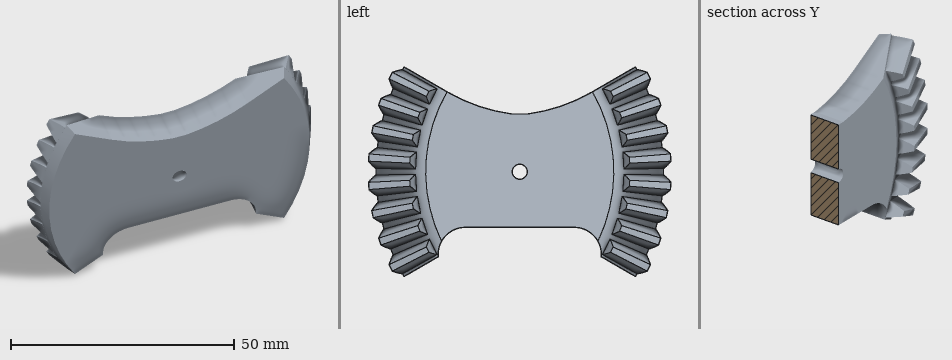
import cadquery as cq
import math

root_radius = 47.0
gear_teeth = 48
pinion_teeth = 20
pressure_angle = math.radians(20)
sector_teeth = 8
face_width_ratio = 0.19
dedendum_factor = 1.25
root_overlap = 0.1
flank_facets = 5

overall_length = 67.8
plate_thickness = 8.0
root_rim_height = 2.7
hole_diameter = 3.3
top_flat_z = 12.95
top_flat_half_width = 1.7
top_arc_end_y = 16.15
bottom_flat_z = -12.5
bottom_flat_half_width = 12.2
bottom_corner_y = 18.25

tooth_pitch_angle = 360 / gear_teeth
half_sector_angle = sector_teeth * tooth_pitch_angle / 2
sector_slope = math.tan(math.radians(half_sector_angle))
cone_tilt = math.atan(pinion_teeth / gear_teeth)
tooth_module = root_radius / (gear_teeth / 2 - dedendum_factor * math.sin(cone_tilt))
addendum = tooth_module
dedendum = dedendum_factor * tooth_module
pitch_radius = tooth_module * gear_teeth / 2
pitch_height = root_rim_height + dedendum * math.cos(cone_tilt)
apex_height = pitch_height + pitch_radius * math.tan(cone_tilt)
back_radius = root_radius - root_rim_height * math.tan(cone_tilt)
root_slope = (apex_height - root_rim_height) / root_radius
plate_face_radius = (apex_height - plate_thickness) / root_slope

virtual_radius = pitch_radius / math.sin(cone_tilt)
base_radius = virtual_radius * math.cos(pressure_angle)


def involute(angle):
    """Involute function of a pressure angle in radians."""
    return math.tan(angle) - angle


def flank_point(height):
    """(sideways, height) of the involute flank at a height above the pitch line."""
    radius = virtual_radius + height
    angle_at_radius = math.acos(base_radius / radius)
    half_angle = tooth_module * math.pi / 4 / virtual_radius
    half_angle += involute(pressure_angle) - involute(angle_at_radius)
    return radius * math.sin(half_angle), radius * math.cos(half_angle) - virtual_radius


tip_half_width, tip_rise = flank_point(addendum)
tip_radius = pitch_radius + tip_rise * math.sin(cone_tilt)
half_pitch = math.radians(tooth_pitch_angle / 2)
tip_reach = tip_radius * math.cos(half_pitch) + tip_half_width * math.sin(half_pitch)
gear_axis_offset = tip_reach - overall_length / 2


def on_end_edge(y):
    """Height above the middle line of the sector's sloping end edge at y."""
    return (y + gear_axis_offset) * sector_slope


def make_tooth():
    """Tooth on the +Y side of a gear axis at the origin, tapering toward the cone apex."""
    depth = dedendum + root_overlap
    step = (depth + addendum) / flank_facets
    flank = [flank_point(i * step - depth) for i in range(flank_facets + 1)]
    outline = flank + [(-side, height) for side, height in reversed(flank)]
    apex = cq.Vector(apex_height, 0, 0)
    outer_points = [
        cq.Vector(
            pitch_height + height * math.cos(cone_tilt),
            pitch_radius + height * math.sin(cone_tilt),
            side,
        )
        for side, height in outline
    ]
    inner_points = [point + (apex - point) * face_width_ratio for point in outer_points]
    outer_end = cq.Wire.makePolygon(outer_points, close=True)
    inner_end = cq.Wire.makePolygon(inner_points, close=True)
    return cq.Workplane(obj=cq.Solid.makeLoft([outer_end, inner_end], True))


def make_half_plate():
    """The +Y half of the plate, trimmed by the root cone and back cone."""
    far_y = root_radius
    outline = (
        cq.Workplane("YZ")
        .moveTo(0, bottom_flat_z)
        .lineTo(bottom_flat_half_width, bottom_flat_z)
        .tangentArcPoint((bottom_corner_y, -on_end_edge(bottom_corner_y)), relative=False)
        .lineTo(far_y, -on_end_edge(far_y))
        .lineTo(far_y, on_end_edge(far_y))
        .lineTo(top_arc_end_y, on_end_edge(top_arc_end_y))
        .tangentArcPoint((top_flat_half_width, top_flat_z), relative=False)
        .lineTo(0, top_flat_z)
        .close()
        .extrude(plate_thickness)
    )
    gear_blank = (
        cq.Workplane("XY")
        .polyline([
            (0, 0),
            (0, back_radius),
            (root_rim_height, root_radius),
            (plate_thickness, plate_face_radius),
            (plate_thickness, 0),
        ])
        .close()
        .revolve(360, (0, 0, 0), (1, 0, 0))
        .translate((0, -gear_axis_offset, 0))
    )
    return outline.intersect(gear_blank)


half = make_half_plate()
tooth = make_tooth()
for index in range(sector_teeth):
    angle = (index + 0.5) * tooth_pitch_angle - half_sector_angle
    placed = tooth.rotate((0, 0, 0), (1, 0, 0), angle)
    half = half.union(placed.translate((0, -gear_axis_offset, 0)))

both_halves = half.union(half.mirror("XZ")).clean()
hole = cq.Workplane("YZ").circle(hole_diameter / 2).extrude(plate_thickness)
result = both_halves.cut(hole).mirror("YZ")